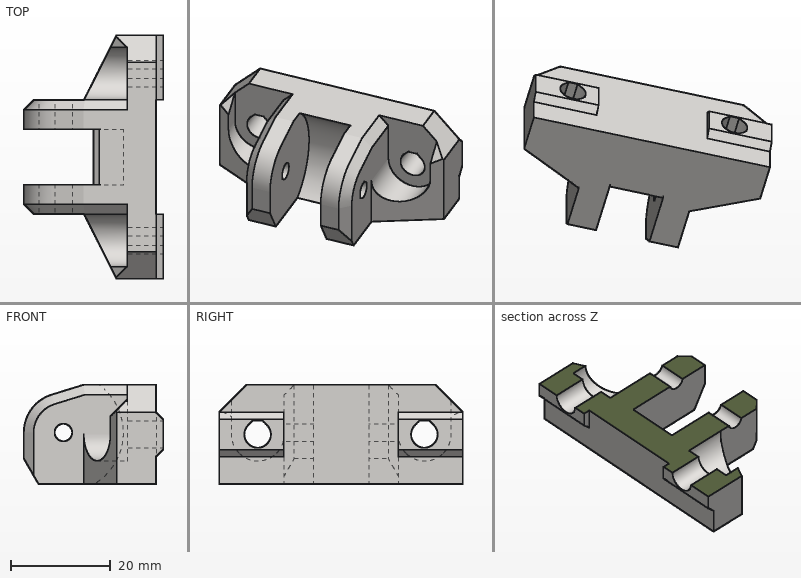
import cadquery as cq
import math

length = 49.0
half_length = length / 2
height = 20.0
back_x = 26.6
pad_thickness = 1.45

arm_outer_y = 11.45
slot_half_width = 5.55
pin_diameter = 3.5
nose_radius = 8.0
pin_x = nose_radius
pin_z = 10.4
ramp_top_x = 12.0
arm_chamfer = 2.0
toe_length = 3.0
toe_height = toe_length * math.tan(math.radians(60))
slot_radius = 12.0

wing_root_x = 12.1
wing_tip_x = 18.65
end_chamfer = 5.5
seat_x = 20.8
seat_radius = 5.3
screw_y = arm_outer_y + seat_radius
screw_z = height / 2
screw_diameter = 5.3
roof_height = 2.8
bevel_drop = 3.0
bevel_length = seat_x - wing_root_x

pad_half_height = screw_z - end_chamfer


def make_wing_body():
    """Plate with tapered wings and chamfered upper ends, left open where the arms go."""
    plan = [
        (back_x, -half_length),
        (wing_tip_x, -half_length),
        (wing_root_x, -arm_outer_y),
        (wing_root_x, arm_outer_y),
        (wing_tip_x, half_length),
        (back_x, half_length),
    ]
    body = cq.Workplane("XY").polyline(plan).close().extrude(height)
    body = body.edges("|X and >Z").chamfer(end_chamfer)
    arm_space = cq.Workplane("XY").box(seat_x, 2 * arm_outer_y, height, centered=(False, True, False))
    return body.cut(arm_space)


def make_arm_block():
    """Both arms as one block, chamfered along the nose and top, then cut at the toe."""
    rise = height - pin_z
    run = ramp_top_x - pin_x
    tangent_angle = math.atan2(rise, run) + math.acos(nose_radius / math.hypot(run, rise))
    middle_angle = (tangent_angle + math.pi) / 2

    def nose_point(angle):
        return (pin_x + nose_radius * math.cos(angle), pin_z + nose_radius * math.sin(angle))

    block = (
        cq.Workplane("XZ", origin=(0, arm_outer_y, 0))
        .moveTo(seat_x, 0)
        .lineTo(0, 0)
        .lineTo(0, pin_z)
        .threePointArc(nose_point(middle_angle), nose_point(tangent_angle))
        .lineTo(ramp_top_x, height)
        .lineTo(seat_x, height)
        .close()
        .extrude(2 * arm_outer_y)
    )
    outer_rims = block.faces("<Y or >Y").edges("not(<Z or >X)")
    block = outer_rims.chamfer(arm_chamfer)
    toe = (
        cq.Workplane("XZ", origin=(0, arm_outer_y, 0))
        .polyline([(0, 0), (toe_length, 0), (0, toe_height)])
        .close()
        .extrude(2 * arm_outer_y)
    )
    return block.cut(toe)


def wing_relief(side):
    """Round-bottomed screw seat open to the top, plus the bevel on the wing's front edge."""
    seat = cq.Workplane("YZ").center(side * screw_y, screw_z).circle(seat_radius).extrude(seat_x)
    opening = (
        cq.Workplane("YZ")
        .center(side * screw_y, (screw_z + height) / 2)
        .rect(2 * seat_radius, height - screw_z)
        .extrude(seat_x)
    )
    bevel_top_z = height - bevel_drop
    bevel = (
        cq.Workplane("XZ", origin=(0, side * screw_y, 0))
        .moveTo(seat_x, height)
        .lineTo(seat_x, bevel_top_z)
        .lineTo(seat_x - bevel_length, bevel_top_z - bevel_length)
        .lineTo(seat_x - bevel_length, height)
        .close()
        .extrude(-side * (half_length - screw_y))
    )
    return seat.union(opening).union(bevel)


def make_pad(side):
    """Locating pad on the back face, with 45-degree upper and lower edges."""
    return (
        cq.Workplane("XZ", origin=(0, side * arm_outer_y, screw_z))
        .moveTo(back_x, -pad_half_height)
        .lineTo(back_x + pad_thickness, pad_thickness - pad_half_height)
        .lineTo(back_x + pad_thickness, pad_half_height - pad_thickness)
        .lineTo(back_x, pad_half_height)
        .close()
        .extrude(-side * (half_length - arm_outer_y))
    )


def pin_cylinder(diameter, half_width):
    """Cylinder along Y on the hinge axis, centred between the arms."""
    return (
        cq.Workplane("XZ", origin=(pin_x, half_width, pin_z))
        .circle(diameter / 2)
        .extrude(2 * half_width)
    )


def make_screw_hole(side):
    """Screw hole with a flat-topped, 45-degree roof, from the seat through the pad."""
    radius = screw_diameter / 2
    tangent = radius * math.sqrt(0.5)
    roof_half_width = radius * math.sqrt(2) - roof_height
    return (
        cq.Workplane("YZ", origin=(seat_x, side * screw_y, screw_z))
        .moveTo(-tangent, tangent)
        .threePointArc((0, -radius), (tangent, tangent))
        .lineTo(roof_half_width, roof_height)
        .lineTo(-roof_half_width, roof_height)
        .close()
        .extrude(back_x + pad_thickness - seat_x)
    )


result = make_wing_body()
for side in (-1, 1):
    result = result.cut(wing_relief(side))
result = result.union(make_arm_block())

result = result.cut(pin_cylinder(2 * slot_radius, slot_half_width))
result = result.cut(pin_cylinder(pin_diameter, arm_outer_y))

for side in (-1, 1):
    result = result.union(make_pad(side))
    result = result.cut(make_screw_hole(side))